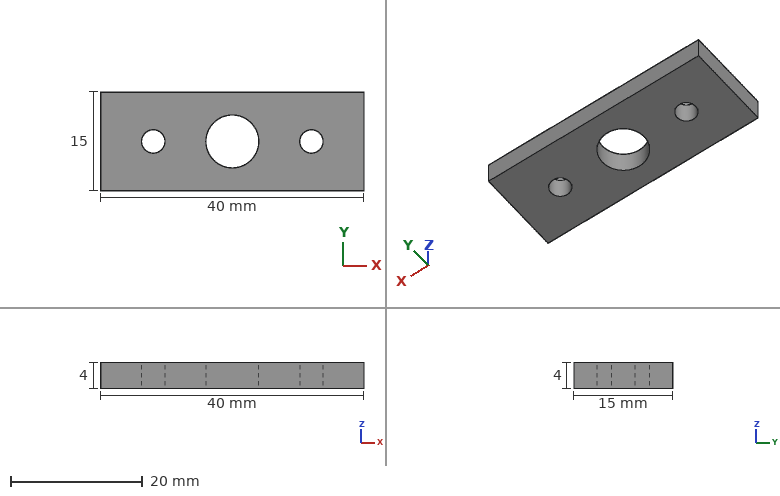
import cadquery as cq

length = 40.0
width = 15.0
thickness = 4.0

center_hole_diameter = 8.0
screw_hole_diameter = 3.5
screw_hole_spacing = 24.0

plate = cq.Workplane("XY").box(length, width, thickness)

with_center_hole = plate.faces(">Z").workplane().hole(center_hole_diameter)

result = (
    with_center_hole.faces(">Z")
    .workplane(origin=(0, 0, 0))
    .rarray(screw_hole_spacing, 0.4, 2, 1)
    .hole(screw_hole_diameter)
)